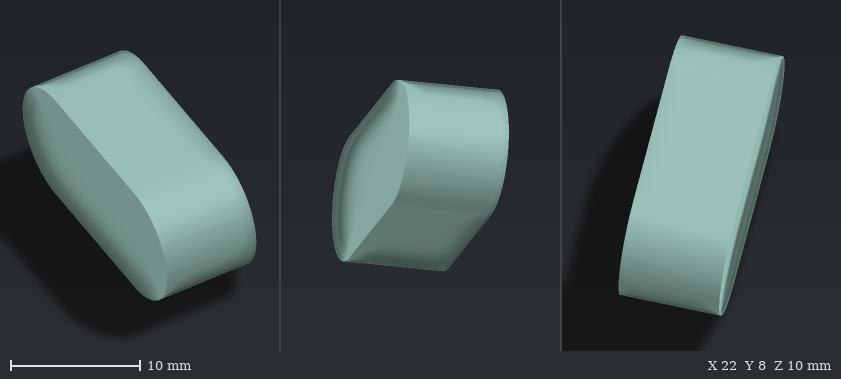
import cadquery as cq

length = 22.0
width = 8.0
height = 10.0

result = (
    cq.Workplane("XZ")
    .slot2D(length, height)
    .extrude(width / 2, both=True)
)